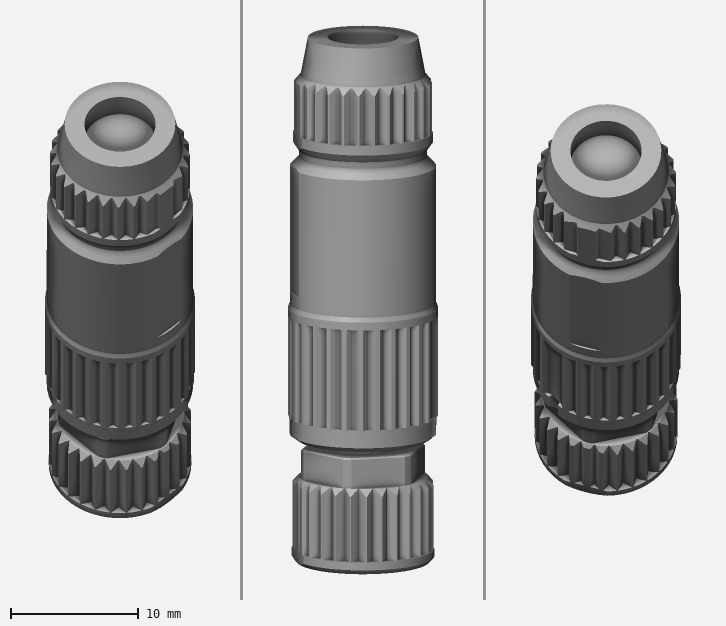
import cadquery as cq
import math

TOTAL_HEIGHT = 41.95
OVERSHOOT = 0.4
TOOTH_COUNT = 28
PITCH_ANGLE = 360.0 / TOOTH_COUNT
GROOVE_HALF_ANGLE = 45.0
GROOVE_ROOT_FILLET = 0.15
NUT_FLAT_SPACING = 10.65

LOWER_NUT_DIAMETER = 11.2
LOWER_NUT_BOTTOM_DIAMETER = 10.5
LOWER_NUT_EDGE_HEIGHT = 0.38
LOWER_RIM_TOP = 1.0
LOWER_KNURL_SHOULDER = 6.25
LOWER_NUT_TOP = 6.8
LOWER_NUT_TOP_DIAMETER = 10.1
LOWER_GROOVE_ROOT_RADIUS = 5.0

HEX_ACROSS_FLATS = 8.9
HEX_CORNER_DIAMETER = 9.9
HEX_TOP = 9.2
HEX_TOP_CHAMFER = 0.13
NECK_DIAMETER = 6.1

SLEEVE_BOTTOM = 9.77
SLEEVE_BOTTOM_DIAMETER = 10.25
SLEEVE_EDGE_TOP = 10.2
SLEEVE_KNURL_BOTTOM = 11.6
SLEEVE_KNURL_TOP = 19.67
SLEEVE_SHOULDER = 20.3
SLEEVE_TOP = 20.7
SLEEVE_DIAMETER = 11.8
SLEEVE_GROOVE_ROOT_RADIUS = 5.45
MARKER_ANGLE = 150.0
MARKER_NOTCH_DIAMETER = 1.1

BODY_DIAMETER = 11.5
BODY_FLAT_WIDTH = 2.65
BODY_FLAT_BOTTOM = 21.75
BODY_SHOULDER = 31.67
BODY_TOP = 32.45
BODY_TOP_DIAMETER = 9.95

COLLAR_DIAMETER = 10.05
UPPER_NUT_BOTTOM = 32.97
UPPER_RIM_BOTTOM = 33.6
UPPER_RIM_TOP = 34.35
UPPER_KNURL_SHOULDER = 38.35
UPPER_NUT_TOP = 38.97
UPPER_NUT_DIAMETER = 11.0
UPPER_GROOVE_ROOT_RADIUS = 5.0
RIB_CREST_WIDTH = 1.43
RIB_BASE_WIDTH = 1.85
RIB_FLOOR_SPACING = 10.15
RIB_FLOOR_WIDTH = 4.2

TAPER_BASE_DIAMETER = 9.8
TAPER_TOP_DIAMETER = 8.7
CABLE_HOLE_DIAMETER = 5.6
CABLE_HOLE_DEPTH = 2.1


def turned(profile):
    """Solid of revolution about Z from (diameter, z) pairs listed upwards."""
    bottom = profile[0][1]
    top = profile[-1][1]
    outline = [(0, bottom)] + [(diameter / 2, z) for diameter, z in profile] + [(0, top)]
    return cq.Workplane("XZ").polyline(outline).close().revolve(360, (0, 0), (0, 1))


def cut_grooves(body, root_radius, outer_diameter, bottom, top, angles, root_fillet=0):
    """Cut vertical V-grooves at the given directions, with their roots sharp or rounded."""
    half_angle = math.radians(GROOVE_HALF_ANGLE)
    vertex = root_radius - root_fillet * (1 / math.sin(half_angle) - 1)
    outer = outer_diameter / 2 + OVERSHOOT
    half_width = (outer - vertex) * math.tan(half_angle)
    groove = (
        cq.Workplane("XY", origin=(0, 0, bottom))
        .polyline([(vertex, 0), (outer, -half_width), (outer, half_width)])
        .close()
        .extrude(top - bottom)
    )
    if root_fillet:
        groove = groove.edges("|Z and <X").fillet(root_fillet)
    for angle in angles:
        body = body.cut(groove.rotate((0, 0, 0), (0, 0, 1), angle))
    return body


def cut_side_flats(body, spacing, bottom, top):
    """Flatten the -X and +X sides between two heights."""
    cutter_size = TOTAL_HEIGHT
    for side in (-1, 1):
        block = cq.Workplane("XY", origin=(side * (spacing + cutter_size) / 2, 0, bottom))
        body = body.cut(block.rect(cutter_size, cutter_size).extrude(top - bottom))
    return body


def lower_nut():
    nut = turned([
        (LOWER_NUT_BOTTOM_DIAMETER, 0),
        (LOWER_NUT_DIAMETER, LOWER_NUT_EDGE_HEIGHT),
        (LOWER_NUT_DIAMETER, LOWER_KNURL_SHOULDER),
        (LOWER_NUT_TOP_DIAMETER, LOWER_NUT_TOP),
    ])
    nut = cut_side_flats(nut, NUT_FLAT_SPACING, 0, LOWER_NUT_TOP)
    angles = [(i + 0.5) * PITCH_ANGLE for i in range(TOOTH_COUNT)]
    return cut_grooves(
        nut, LOWER_GROOVE_ROOT_RADIUS, LOWER_NUT_DIAMETER, LOWER_RIM_TOP, LOWER_NUT_TOP, angles
    )


def hexagon_and_neck():
    height = HEX_TOP - LOWER_NUT_TOP
    base = cq.Workplane("XY", origin=(0, 0, LOWER_NUT_TOP))
    hexagon = base.polygon(6, HEX_ACROSS_FLATS / math.cos(math.pi / 6)).extrude(height)
    hexagon = hexagon.intersect(base.circle(HEX_CORNER_DIAMETER / 2).extrude(height))
    neck = base.circle(NECK_DIAMETER / 2).extrude(SLEEVE_BOTTOM - LOWER_NUT_TOP)
    return hexagon.faces(">Z").chamfer(HEX_TOP_CHAMFER).union(neck)


def sleeve():
    lower_ring = turned([
        (SLEEVE_BOTTOM_DIAMETER, SLEEVE_BOTTOM),
        (BODY_DIAMETER, SLEEVE_EDGE_TOP),
        (BODY_DIAMETER, SLEEVE_KNURL_BOTTOM),
    ])
    notch = (
        cq.Workplane("XY", origin=(BODY_DIAMETER / 2, 0, SLEEVE_BOTTOM))
        .circle(MARKER_NOTCH_DIAMETER / 2)
        .extrude(SLEEVE_KNURL_BOTTOM - SLEEVE_BOTTOM)
        .rotate((0, 0, 0), (0, 0, 1), MARKER_ANGLE)
    )
    lower_ring = lower_ring.cut(notch)

    knurled = turned([
        (SLEEVE_DIAMETER, SLEEVE_KNURL_BOTTOM),
        (SLEEVE_DIAMETER, SLEEVE_SHOULDER),
        (BODY_DIAMETER, SLEEVE_TOP),
    ])
    angles = [MARKER_ANGLE + (i + 0.5) * PITCH_ANGLE for i in range(TOOTH_COUNT)]
    knurled = cut_grooves(
        knurled, SLEEVE_GROOVE_ROOT_RADIUS, SLEEVE_DIAMETER,
        SLEEVE_KNURL_BOTTOM, SLEEVE_KNURL_TOP, angles, GROOVE_ROOT_FILLET,
    )
    half_pitch = math.radians(PITCH_ANGLE / 2)
    floor = SLEEVE_GROOVE_ROOT_RADIUS * math.cos(half_pitch)
    half_floor = SLEEVE_GROOVE_ROOT_RADIUS * math.sin(half_pitch)
    outer = SLEEVE_DIAMETER / 2 + OVERSHOOT
    marker_tooth = (
        cq.Workplane("XY", origin=(0, 0, SLEEVE_KNURL_BOTTOM))
        .polyline([(floor, -half_floor), (outer, -half_floor), (outer, half_floor), (floor, half_floor)])
        .close()
        .extrude(SLEEVE_KNURL_TOP - SLEEVE_KNURL_BOTTOM)
        .rotate((0, 0, 0), (0, 0, 1), MARKER_ANGLE)
    )
    return lower_ring.union(knurled.cut(marker_tooth))


def smooth_body():
    body = turned([
        (BODY_DIAMETER, SLEEVE_TOP),
        (BODY_DIAMETER, BODY_SHOULDER),
        (BODY_TOP_DIAMETER, BODY_TOP),
    ])
    flat_spacing = math.sqrt(BODY_DIAMETER**2 - BODY_FLAT_WIDTH**2)
    return cut_side_flats(body, flat_spacing, BODY_FLAT_BOTTOM, BODY_TOP)


def upper_nut():
    nut = turned([
        (COLLAR_DIAMETER, BODY_TOP),
        (COLLAR_DIAMETER, UPPER_NUT_BOTTOM),
        (UPPER_NUT_DIAMETER, UPPER_RIM_BOTTOM),
        (UPPER_NUT_DIAMETER, UPPER_KNURL_SHOULDER),
        (TAPER_BASE_DIAMETER, UPPER_NUT_TOP),
    ])
    nut = cut_side_flats(nut, NUT_FLAT_SPACING, UPPER_NUT_BOTTOM, UPPER_NUT_TOP)
    omitted = [(i + side) % TOOTH_COUNT for side in (0, TOOTH_COUNT // 2) for i in (-1, 0, 1)]
    angles = [i * PITCH_ANGLE for i in range(TOOTH_COUNT) if i not in omitted]
    nut = cut_grooves(
        nut, UPPER_GROOVE_ROOT_RADIUS, UPPER_NUT_DIAMETER,
        UPPER_RIM_TOP, UPPER_NUT_TOP, angles, GROOVE_ROOT_FILLET,
    )
    return cut_rib_sides(nut)


def cut_rib_sides(nut):
    """Sink a flat floor on both sides of the sloped rib on each side flat."""
    floor = RIB_FLOOR_SPACING / 2
    crest = NUT_FLAT_SPACING / 2
    outer = UPPER_NUT_DIAMETER / 2 + OVERSHOOT
    recess = (
        cq.Workplane("XY", origin=(0, 0, UPPER_RIM_TOP))
        .polyline([
            (floor, RIB_BASE_WIDTH / 2),
            (crest, RIB_CREST_WIDTH / 2),
            (outer, RIB_CREST_WIDTH / 2),
            (outer, RIB_FLOOR_WIDTH / 2),
            (floor, RIB_FLOOR_WIDTH / 2),
        ])
        .close()
        .extrude(UPPER_NUT_TOP - UPPER_RIM_TOP)
    )
    recess_pair = recess.union(recess.mirror("XZ"))
    return nut.cut(recess_pair).cut(recess_pair.mirror("YZ"))


def tapered_end():
    return turned([(TAPER_BASE_DIAMETER, UPPER_NUT_TOP), (TAPER_TOP_DIAMETER, TOTAL_HEIGHT)])


connector = lower_nut()
for section in (hexagon_and_neck(), sleeve(), smooth_body(), upper_nut(), tapered_end()):
    connector = connector.union(section)

result = connector.faces(">Z").workplane().hole(CABLE_HOLE_DIAMETER, CABLE_HOLE_DEPTH)